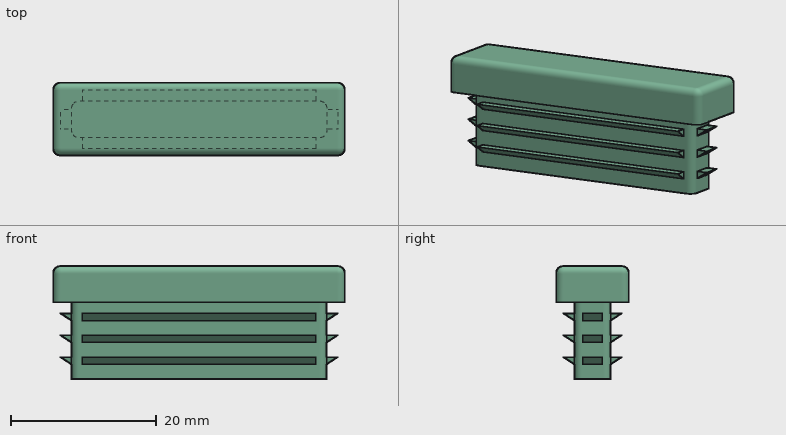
import cadquery as cq

cap_length = 40.0
cap_width = 10.0
cap_height = 5.0
edge_radius = 1.0

stem_length = 35.0
stem_width = 5.0
stem_height = 10.5

fin_rows = 3
fin_pitch = 3.0
first_fin_top = -1.5
fin_thickness = 1.0
fin_reach = 1.5
long_fin_length = 32.0
short_fin_length = 2.65
fin_overlap = 0.4


def make_cap():
    block = cq.Workplane("XY").box(cap_length, cap_width, cap_height, centered=(True, True, False))
    return block.edges("|Z or >Z").fillet(edge_radius)


def make_stem():
    block = cq.Workplane("XY").rect(stem_length, stem_width).extrude(-stem_height)
    return block.edges("|Z").fillet(edge_radius)


def make_fin(face_distance, length, top, angle):
    """Fin on the stem face at face_distance from the Z axis, turned about Z from +X."""
    root = face_distance - fin_overlap
    tip = face_distance + fin_reach
    profile = [
        (root, top),
        (tip, top),
        (face_distance, top - fin_thickness),
        (root, top - fin_thickness),
    ]
    fin = cq.Workplane("XZ").polyline(profile).close().extrude(length / 2, both=True)
    return fin.rotate((0, 0, 0), (0, 0, 1), angle)


result = make_cap().union(make_stem())
for row in range(fin_rows):
    fin_top = first_fin_top - row * fin_pitch
    for angle in (0, 180):
        result = result.union(make_fin(stem_length / 2, short_fin_length, fin_top, angle))
        result = result.union(make_fin(stem_width / 2, long_fin_length, fin_top, angle + 90))